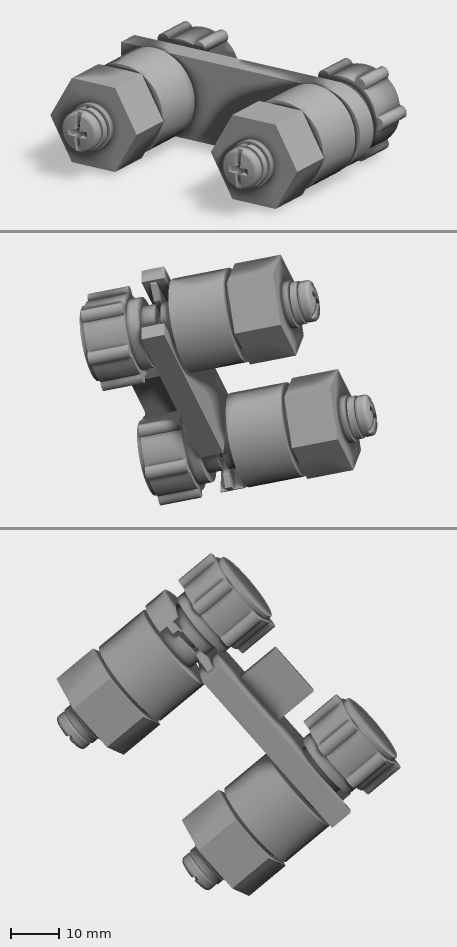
import cadquery as cq
import math

post_pitch = 40.0
post_length = 49.2
rear_y = post_length / 2

knob_start = 1.05
knob_end = 9.9
knob_collar_end = 12.5
neck_start = 15.5
neck_end = 16.8
sleeve_start = 19.9
sleeve_end = 31.9
sleeve_collar_end = 32.9
hex_end = 42.9
stud_end = 44.2
washer_start = 44.65
washer_end = 46.0
head_start = 46.25
head_edge = 47.8
dome_edge = 48.7

rear_flange_radius = 8.0
knob_radius = 8.75
collar_radius = 7.5
seat_radius = 5.55
neck_radius = 2.75
sleeve_radius = 20.0 / 2
hex_across_corners = 21.5
stud_radius = 5.0
screw_radius = 2.75
washer_radius = 4.55
head_radius = 4.35
head_bevel_width = 0.2
head_bevel_length = 0.4
dome_edge_radius = 3.45

rib_count = 6
rib_radius = 1.4
rib_circle_radius = 8.9

washer_split = 0.4
split_flare_width = 1.2
split_flare_depth = 0.5

slot_width = 1.3
slot_depth = 1.35
recess_arm_width = 1.4
recess_mouth_radius = 2.65
recess_core_radius = 0.9
recess_core_depth = 2.0
recess_tip_depth = 2.6

link_thickness = 5.0
link_rear = 13.8
link_height = 18.2
link_fork_overhang = 9.1
link_round_offset = 1.35
fork_half_width = 6.0
hook_half_width = 6.6

web_half_width = 3.0
web_mouth_step = 0.4
fork_mouth_distance = 8.35
hook_mouth_angle = 13.0
hook_open_angle = 20.0

tab_width = 12.05
tab_length = 9.65
tab_thickness = 2.45
tab_top = 1.85
tab_ramp = 1.55


def post_section(distance):
    """Plane across the Y axis at a distance from the rear end, with extrusions going to -Y."""
    return cq.Workplane("XZ", origin=(0, rear_y - distance, 0))


def disc(radius, start, end):
    """Cylinder on the Y axis between two distances from the rear end."""
    return post_section(start).circle(radius).extrude(end - start)


def make_knob():
    knob = disc(rear_flange_radius, 0, knob_start)
    knob = knob.union(disc(knob_radius, knob_start, knob_end))
    ribs = (
        post_section(knob_start)
        .polarArray(rib_circle_radius, 0, 360, rib_count)
        .circle(rib_radius)
        .extrude(knob_end - knob_start)
    )
    knob = knob.union(ribs)
    return knob.union(disc(collar_radius, knob_end, knob_collar_end))


def make_hexagon():
    return (
        post_section(sleeve_collar_end)
        .polygon(6, hex_across_corners)
        .extrude(hex_end - sleeve_collar_end)
    )


def make_spring_washer():
    washer = disc(washer_radius, washer_start, washer_end)
    top_y = rear_y - washer_start
    bottom_y = rear_y - washer_end
    flare_y = top_y - split_flare_depth
    split = (
        cq.Workplane("XY")
        .polyline([
            (-split_flare_width / 2, top_y),
            (-washer_split / 2, flare_y),
            (-washer_split / 2, bottom_y),
            (washer_split / 2, bottom_y),
            (washer_split / 2, flare_y),
            (split_flare_width / 2, top_y),
        ])
        .close()
        .extrude(washer_radius)
    )
    return washer.cut(split).union(disc(screw_radius, washer_start, washer_end))


def make_head():
    """Round screw head with a shallow dome, turned about the Y axis."""
    edge_y = rear_y - head_edge
    dome_y = rear_y - dome_edge
    tip_y = rear_y - post_length
    edge_drop = math.sqrt(0.5) * (edge_y - dome_y)
    edge_reach = math.sqrt(0.5) * (head_radius - dome_edge_radius)
    rounded_edge = (dome_edge_radius + edge_reach, edge_y - edge_drop)
    dome_middle = (dome_edge_radius / 2, tip_y + (dome_y - tip_y) / 4)
    return (
        cq.Workplane("XY")
        .moveTo(0, rear_y - head_start)
        .lineTo(head_radius - head_bevel_width, rear_y - head_start)
        .lineTo(head_radius, rear_y - head_start - head_bevel_length)
        .lineTo(head_radius, edge_y)
        .threePointArc(rounded_edge, (dome_edge_radius, dome_y))
        .threePointArc(dome_middle, (0, tip_y))
        .close()
        .revolve(360, (0, 0, 0), (0, 1, 0))
    )


def make_drive():
    """Straight slot joined with a cross recess whose arms run down a cone."""
    tip_y = rear_y - post_length
    slot = post_section(post_length).rect(slot_width, 2 * head_radius).extrude(-slot_depth)
    cone = (
        cq.Workplane("XY")
        .moveTo(0, tip_y)
        .lineTo(recess_mouth_radius, tip_y)
        .lineTo(recess_core_radius, tip_y + recess_core_depth)
        .lineTo(0, tip_y + recess_tip_depth)
        .close()
        .revolve(360, (0, 0, 0), (0, 1, 0))
    )
    arm_length = 2 * recess_mouth_radius
    level_arms = post_section(post_length).rect(arm_length, recess_arm_width)
    upright_arms = post_section(post_length).rect(slot_width, arm_length)
    arms = level_arms.extrude(-recess_tip_depth).union(upright_arms.extrude(-recess_tip_depth))
    return slot.union(cone.intersect(arms))


def make_post():
    post = make_knob()
    post = post.union(disc(seat_radius, knob_collar_end, neck_start))
    post = post.union(disc(neck_radius, neck_start, neck_end))
    post = post.union(disc(seat_radius, neck_end, sleeve_start))
    post = post.union(disc(sleeve_radius, sleeve_start, sleeve_end))
    post = post.union(disc(collar_radius, sleeve_end, sleeve_collar_end))
    post = post.union(make_hexagon())
    post = post.union(disc(stud_radius, hex_end, stud_end))
    post = post.union(disc(screw_radius, stud_end, head_start))
    post = post.union(make_spring_washer())
    post = post.union(make_head())
    return post.cut(make_drive())


def make_link_bar():
    half = link_height / 2
    left = -post_pitch / 2 - link_fork_overhang
    round_x = post_pitch / 2 + link_round_offset
    return (
        post_section(link_rear)
        .moveTo(left, -half)
        .lineTo(round_x, -half)
        .threePointArc((round_x + half, 0), (round_x, half))
        .lineTo(left, half)
        .close()
        .extrude(link_thickness)
    )


def fork_seat_slot(start, end):
    """Wide slot open to -X with a round end about the left post."""
    post_x = -post_pitch / 2
    open_x = post_x - link_fork_overhang
    return (
        post_section(start)
        .moveTo(open_x, fork_half_width)
        .lineTo(post_x, fork_half_width)
        .threePointArc((post_x + fork_half_width, 0), (post_x, -fork_half_width))
        .lineTo(open_x, -fork_half_width)
        .close()
        .extrude(end - start)
    )


def fork_web_slot():
    """Slot through the fork web, with a 45 degree lead-in behind its mouth."""
    post_x = -post_pitch / 2
    open_x = post_x - link_fork_overhang
    mouth_x = post_x - fork_mouth_distance
    mouth_half = fork_half_width - web_mouth_step
    throat_x = mouth_x + mouth_half - web_half_width
    return (
        post_section(neck_start)
        .moveTo(open_x, fork_half_width)
        .lineTo(mouth_x, fork_half_width)
        .lineTo(mouth_x, mouth_half)
        .lineTo(throat_x, web_half_width)
        .lineTo(post_x, web_half_width)
        .threePointArc((post_x + web_half_width, 0), (post_x, -web_half_width))
        .lineTo(throat_x, -web_half_width)
        .lineTo(mouth_x, -mouth_half)
        .lineTo(mouth_x, -fork_half_width)
        .lineTo(open_x, -fork_half_width)
        .close()
        .extrude(neck_end - neck_start)
    )


def swing_point(offset, angle):
    """Point offset from the right post radially, then swung down about the left post."""
    radius = post_pitch + offset
    turn = math.radians(angle)
    return (radius * math.cos(turn) - post_pitch / 2, -radius * math.sin(turn))


def hook_slot(half_width, end_angle, start, end):
    """Curved slot that follows the swing about the left post, round at the right post."""
    return (
        post_section(start)
        .moveTo(*swing_point(-half_width, 0))
        .threePointArc(swing_point(-half_width, end_angle / 2), swing_point(-half_width, end_angle))
        .lineTo(*swing_point(half_width, end_angle))
        .threePointArc(swing_point(half_width, end_angle / 2), swing_point(half_width, 0))
        .threePointArc((post_pitch / 2, half_width), swing_point(-half_width, 0))
        .close()
        .extrude(end - start)
    )


def hook_web_slot():
    """Slot through the hook web, with a lead-in of about 45 degrees behind its mouth."""
    mouth_half = hook_half_width - web_mouth_step
    lead_angle = math.degrees((mouth_half - web_half_width) / post_pitch)
    throat_angle = hook_mouth_angle - lead_angle
    outside = (
        post_section(neck_start)
        .polyline([
            swing_point(-hook_half_width, hook_mouth_angle),
            swing_point(hook_half_width, hook_mouth_angle),
            swing_point(hook_half_width, hook_open_angle),
            swing_point(-hook_half_width, hook_open_angle),
        ])
        .close()
        .extrude(neck_end - neck_start)
    )
    lead = (
        post_section(neck_start)
        .polyline([
            swing_point(-mouth_half, hook_mouth_angle),
            swing_point(mouth_half, hook_mouth_angle),
            swing_point(web_half_width, throat_angle),
            swing_point(-web_half_width, throat_angle),
        ])
        .close()
        .extrude(neck_end - neck_start)
    )
    throat = hook_slot(web_half_width, throat_angle, neck_start, neck_end)
    return outside.union(lead).union(throat)


def make_tab():
    """Flat tab behind the link with a 45 degree ramp at its root."""
    root_y = rear_y - link_rear
    bottom = tab_top - tab_thickness
    return (
        cq.Workplane("YZ", origin=(-tab_width / 2, 0, 0))
        .polyline([
            (root_y, bottom),
            (root_y + tab_length, bottom),
            (root_y + tab_length, tab_top),
            (root_y + tab_ramp, tab_top),
            (root_y, tab_top + tab_ramp),
        ])
        .close()
        .extrude(tab_width)
    )


def make_link():
    link = make_link_bar()
    link_front = link_rear + link_thickness
    for start, end in ((link_rear, neck_start), (neck_end, link_front)):
        link = link.cut(fork_seat_slot(start, end))
        link = link.cut(hook_slot(hook_half_width, hook_open_angle, start, end))
    link = link.cut(fork_web_slot()).cut(hook_web_slot())
    return link.union(make_tab())


post_shape = make_post()
posts = []
for side in (-1, 1):
    post = post_shape.translate((side * post_pitch / 2, 0, 0))
    posts.append(post.val())

result = cq.Compound.makeCompound([*posts, make_link().val()])